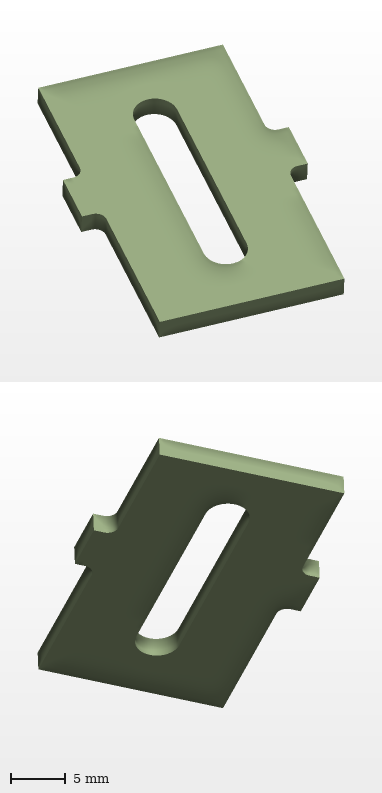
import cadquery as cq

plate_length = 32.1
plate_width = 18.0
thickness = 2.0
tilt_angle = 5.7

span_over_tabs = 22.0
tab_length = 5.0
tab_offset = -1.57
root_radius = 1.0

slot_length = 22.5
slot_width = 4.18
slot_offset = -0.25


def make_plate():
    """Rectangular plate crossed by a bar that forms both tabs."""
    body = cq.Workplane("XY").box(plate_length, plate_width, thickness)
    tab_bar = (
        cq.Workplane("XY")
        .center(tab_offset, 0)
        .box(tab_length, span_over_tabs, thickness)
    )
    return body.union(tab_bar)


def round_tab_roots(plate):
    """Fillet the four inside corners where the tabs meet the plate."""
    roots = cq.selectors.BoxSelector(
        (tab_offset - tab_length, -(plate_width + root_radius) / 2, -thickness),
        (tab_offset + tab_length, (plate_width + root_radius) / 2, thickness),
    )
    return plate.edges("|Z").edges(roots).fillet(root_radius)


def cut_slot(plate):
    """Cut the round-ended slot through the thickness."""
    slot = (
        cq.Workplane("XY")
        .center(slot_offset, 0)
        .slot2D(slot_length, slot_width)
        .extrude(thickness, both=True)
    )
    return plate.cut(slot)


flat_plate = cut_slot(round_tab_roots(make_plate()))
result = flat_plate.rotate((0, 0, 0), (0, 1, 0), tilt_angle)